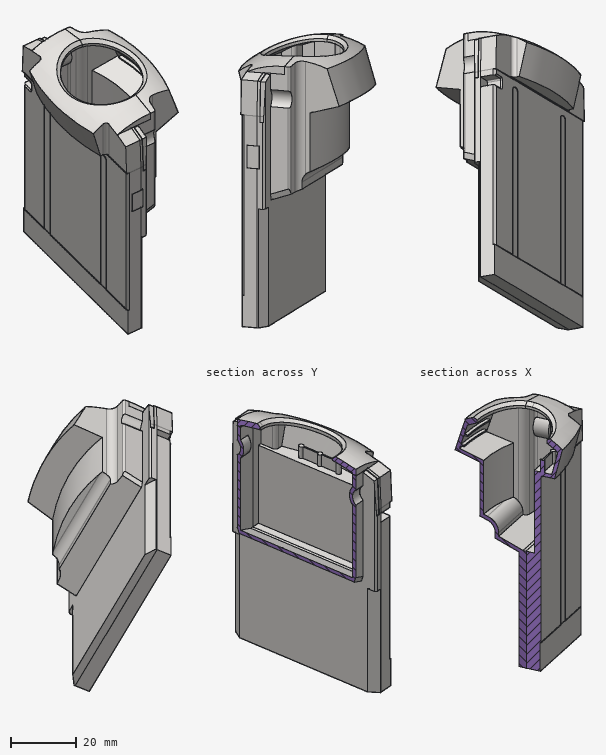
import cadquery as cq
import math


PLATE_HALF = 28.4
PLATE_BACK = 7.6
STRIP_TOP = 9.9
STRIP_RECESS = 0.25
EAR_BOTTOM = 67.0
EAR_STEP = 0.25
EAR_SIDE_TOP = 78.0
EAR_CREST_X = 23.0
EAR_TOP = 83.9
EAR_REAR_Y = 6.0
EAR_REAR_BOTTOM = 65.1
EAR_REAR_STEP = 0.25
EAR_INSET = 0.5
LEFT_CHAMFER = (1.0, 0.75)
RIGHT_CHAMFER = (0.6, 0.75)
REAR_CHAMFER = (3.35, 2.1)
REAR_EDGE = 0.7
REAR_CHAMFER_TOP = 37.65

GROOVE_X = 15.3
GROOVE_WIDTH = 3.1
GROOVE_TOP = 64.8
GROOVE_RADIUS = 1.25
GROOVE_DEPTH = 0.2
NOTCH_LENGTH = 4.35
NOTCH_BOTTOM = 61.9
NOTCH_TOP = 65.1
NOTCH_RADIUS = 0.5
NOTCH_BEVEL = 0.4

HEAD_HALF = 23.3
WING_FRONT = -0.25
WING_BACK = 14.05
FRONT_LOBE_HALF = 17.4
BACK_LOBE_ROOT = (17.7, 14.7)
BACK_LOBE_TIP = (15.65, 30.95)
FRONT_REACH = -10
BACK_ROOT_RADIUS = 2.9
FRONT_ROOT_RADIUS = 1.3
WING_RADIUS = 0.75

BACK_LOW = (29.6, 69.8)
BACK_LEAN = 0.31
FRONT_LOW = (-4.8, 67.3)
FRONT_LEAN = 0.25
BACK_RADIUS = 56.9
FRONT_RADIUS = 65.25
LOBE_BOTTOM_SLOPE = 0.28
HEAD_INTERIOR_Z = 71.5
LOBE_SPLIT_Y = 10

CROWN_TOP = 84.7
CROWN_X_RADIUS = 106.2
CROWN_Y_RADIUS = 30.5
CROWN_Y = 11.7

SHELL_BACK = 21.1
SHELL_POINTS = [(SHELL_BACK, 48.85), (18.7, 48.1)]
SHELL_ARC_MIDDLE = (16.9, 47.1)
SHELL_ARC_END = (15.9, 44.7)
SHELL_STEP_BOTTOM = (15.9, 42.4)
SHELL_FOOT = (6.35, 39.0)
SHELL_START = 1.4
SHELL_BEVEL_WIDTH = 0.7
SHELL_BEVEL_HEIGHT = 1.8

WALL = 1.4
ROOF = 2.2
CAVITY_FRONT = 2.35
MOUTH_Y = 9.95
MOUTH_RADII = (14.1, 12.0)
MOUTH_CHAMFER = 1.25
RIM_LOWEST = 79.4

FINGER_RADIUS = 3.5
FINGER_Z = 71.8
FINGER_DEPTH = 1.25

RIB_HEIGHTS = (71.5, 75.3)
RIB_THICKNESS = 0.7
RIB_DEPTH = 1.25
RIB_HALF = 12.55

RETAINER_Y = -0.5
RETAINER_HALF = 7.1
RETAINER_THICKNESS = 0.5
RETAINER_HEIGHT = 4.2
PEG_DIAMETER = 1.7
PEG_SPACING = 7.4

SEAM_Y = 5.1
SEAM_TOP_Y = 12.2
SEAM_Z = 79.6

BUTTON_Y = (1.8, 5.85)
BUTTON_Z = (50.35, 57.55)
BUTTON_INNER = 26.8
BUTTON_OUTER = 28.5

BIG = 167.3
PICK = 0.75
OVERLAP = 0.8


def box(x0, x1, y0, y1, z0, z1):
    """Box between two opposite corners."""
    return cq.Workplane("XY").box(x1 - x0, y1 - y0, z1 - z0, centered=False).translate((x0, y0, z0))


def side_prism(sketch):
    """Extrude a closed YZ outline to both sides of X = 0."""
    return sketch.extrude(BIG / 2, both=True)


def plan_prism(inset):
    """Upright prism of the head plan: wings with a front and a back lobe."""
    right = [
        (FRONT_LOBE_HALF, FRONT_REACH),
        (FRONT_LOBE_HALF, WING_FRONT),
        (HEAD_HALF, WING_FRONT),
        (HEAD_HALF, WING_BACK),
        BACK_LOBE_ROOT,
        BACK_LOBE_TIP,
    ]
    left = [(-x, y) for x, y in reversed(right)]
    prism = cq.Workplane("XY").polyline(right + left).close().offset2D(-inset, "intersection").extrude(BIG)
    back_root_y = BACK_LOBE_ROOT[1] - inset
    reach = FRONT_LOBE_HALF + 2 * OVERLAP
    for root_y, radius in ((WING_FRONT + inset, FRONT_ROOT_RADIUS), (back_root_y, BACK_ROOT_RADIUS)):
        corners = cq.selectors.BoxSelector(
            (-reach, root_y - PICK, 0), (reach, root_y + PICK, BIG)
        )
        prism = prism.edges("|Z").edges(corners).fillet(radius)
    wing_corners = cq.selectors.BoxSelector(
        (-HEAD_HALF - OVERLAP, WING_BACK - inset - PICK, 0),
        (HEAD_HALF + OVERLAP, WING_BACK - inset + PICK, BIG),
    )
    outermost = prism.edges("|Z").edges(wing_corners)
    prism = outermost.edges("<X or >X").fillet(WING_RADIUS)
    return prism


def sagitta(radius, half_chord):
    """Rise of an arc over its chord."""
    return radius - math.sqrt(radius**2 - half_chord**2)


def end_section(plane, front_apex, back_apex, inset):
    """Outline with straight sides and bulging front and back arcs."""
    half = HEAD_HALF + OVERLAP
    front_sag = sagitta(FRONT_RADIUS - inset, half)
    back_sag = sagitta(BACK_RADIUS - inset, half)
    return (
        plane.moveTo(-half, front_apex + front_sag)
        .threePointArc((0, front_apex), (half, front_apex + front_sag))
        .lineTo(half, back_apex - back_sag)
        .threePointArc((0, back_apex), (-half, back_apex - back_sag))
        .close()
    )


def leaning_ends(inset):
    """Body between the leaning, curved front and back faces of the head."""
    low = 58.55
    high = 92

    def apexes(z):
        front = FRONT_LOW[0] - FRONT_LEAN * (z - FRONT_LOW[1]) + inset
        back = BACK_LOW[0] - BACK_LEAN * (z - BACK_LOW[1]) - inset
        return front, back

    section = end_section(cq.Workplane("XY").workplane(offset=low), *apexes(low), inset)
    section = end_section(section.workplane(offset=high - low), *apexes(high), inset)
    return section.loft(ruled=True)


def crown(drop):
    """Solid under the doubly curved crown."""
    axis_z = CROWN_TOP - CROWN_Y_RADIUS
    half = PLATE_HALF + OVERLAP
    top = CROWN_Y_RADIUS - drop
    edge = top - sagitta(CROWN_X_RADIUS, half)
    return (
        cq.Workplane("XZ")
        .moveTo(-half, 0)
        .lineTo(-half, -edge)
        .threePointArc((0, -top), (half, -edge))
        .lineTo(half, 0)
        .close()
        .revolve(360, (0, 0, 0), (1, 0, 0))
        .translate((0, CROWN_Y, axis_z))
    )


def above_lobes(inset):
    """Everything above the flat front and sloping back undersides of the lobes."""
    floor = FRONT_LOW[1] + inset
    back_z = BACK_LOW[1] + inset
    far_y = BACK_LOW[0] + 8.4

    def slope_z(y):
        return back_z + LOBE_BOTTOM_SLOPE * (y - BACK_LOW[0])

    return side_prism(
        cq.Workplane("YZ")
        .moveTo(FRONT_REACH, floor)
        .lineTo(LOBE_SPLIT_Y, floor)
        .lineTo(LOBE_SPLIT_Y, slope_z(LOBE_SPLIT_Y))
        .lineTo(far_y, slope_z(far_y))
        .lineTo(far_y, BIG)
        .lineTo(FRONT_REACH, BIG)
        .close()
    )


def shell_profile(front, inset):
    """Stepped side outline of the rear shell, from the given front face to its back."""
    foot_y, foot_z = SHELL_FOOT
    top = HEAD_INTERIOR_Z
    outline = (
        cq.Workplane("YZ")
        .moveTo(front - inset, top + inset)
        .lineTo(SHELL_BACK, top + inset)
        .lineTo(*SHELL_POINTS[0])
        .lineTo(*SHELL_POINTS[1])
        .threePointArc(SHELL_ARC_MIDDLE, SHELL_ARC_END)
        .lineTo(*SHELL_STEP_BOTTOM)
        .lineTo(foot_y, foot_z)
        .lineTo(front - inset, foot_z)
        .close()
    )
    if inset:
        outline = outline.offset2D(-inset)
    return side_prism(outline)


def hollow_form(inset, roof_drop, shell_front):
    """Head and rear shell together; inset and lowered, the same form gives the cavity."""
    plan = plan_prism(inset)
    roof = crown(roof_drop)
    head = plan.intersect(leaning_ends(inset)).intersect(above_lobes(inset)).intersect(roof)
    curved_back = end_section(cq.Workplane("XY"), FRONT_REACH, SHELL_BACK - inset, inset).extrude(BIG)
    shell = plan.intersect(shell_profile(shell_front, inset)).intersect(curved_back).intersect(roof)
    return head.union(shell)


def shell_bevels():
    """Wedges along the sloping underside that bevel its left and right edges."""
    foot_y, foot_z = SHELL_FOOT
    step_y, step_z = SHELL_STEP_BOTTOM
    along = cq.Vector(0, step_y - foot_y, step_z - foot_z)
    plane = cq.Plane(origin=(0, foot_y, foot_z), xDir=(1, 0, 0), normal=along)
    wedge = (
        cq.Workplane(plane)
        .polyline([(HEAD_HALF, 0), (HEAD_HALF - SHELL_BEVEL_WIDTH, 0), (HEAD_HALF, -SHELL_BEVEL_HEIGHT)])
        .close()
        .extrude(along.Length)
    )
    return wedge.union(wedge.mirror("YZ"))


def finger_cylinders(radius):
    """Cylinders along Y beside both shell sides."""
    centre = HEAD_HALF + FINGER_RADIUS - FINGER_DEPTH
    return (
        cq.Workplane("XZ", origin=(0, PLATE_BACK, 0))
        .pushPoints([(-centre, FINGER_Z), (centre, FINGER_Z)])
        .circle(radius)
        .extrude(-(WING_BACK + WALL - PLATE_BACK))
    )


def corner_wedge(side, face_y, legs, z0, z1):
    """Wedge that bevels a vertical plate corner on one side, at the front or the back face."""
    width, depth = legs
    edge = side * PLATE_HALF
    inward = 1 if face_y == 0 else -1
    points = [(edge, face_y), (edge - side * width, face_y), (edge, face_y + inward * depth)]
    return cq.Workplane("XY", origin=(0, 0, z0)).polyline(points).close().extrude(z1 - z0)


def ear_slab(front, back, inset):
    """Slab with the plate and ear outline between two Y positions."""
    half = [
        (PLATE_HALF, 0),
        (PLATE_HALF, EAR_BOTTOM),
        (PLATE_HALF - EAR_INSET, EAR_SIDE_TOP),
        (EAR_CREST_X, SEAM_Z),
        (FRONT_LOBE_HALF, EAR_TOP),
    ]
    outline = half + [(-x, z) for x, z in reversed(half)]
    sketch = cq.Workplane("XZ", origin=(0, front, 0)).polyline(outline).close()
    if inset:
        sketch = sketch.offset2D(-inset, "intersection")
    return sketch.extrude(front - back)


def plate():
    """Plate with ears, edge chamfers, bottom strip, grooves and side notch."""
    body = ear_slab(-EAR_STEP, PLATE_BACK, 0)
    rear_rim = ear_slab(EAR_REAR_Y, PLATE_BACK, 0).cut(ear_slab(EAR_REAR_Y, PLATE_BACK, EAR_REAR_STEP))
    body = body.cut(rear_rim.intersect(box(-BIG, BIG, 0, BIG, EAR_REAR_BOTTOM, BIG)))
    body = body.intersect(crown(0).union(box(-BIG, BIG, -BIG, BIG, 0, EAR_BOTTOM)))
    body = body.cut(box(-BIG, BIG, -EAR_STEP, 0, 0, EAR_BOTTOM))
    for side, front_chamfer in ((-1, LEFT_CHAMFER), (1, RIGHT_CHAMFER)):
        body = body.cut(corner_wedge(side, 0, front_chamfer, STRIP_TOP, EAR_BOTTOM))
        body = body.cut(corner_wedge(side, PLATE_BACK, REAR_CHAMFER, 0, REAR_CHAMFER_TOP))
        body = body.cut(corner_wedge(side, PLATE_BACK, (REAR_EDGE, REAR_EDGE), REAR_CHAMFER_TOP, BIG))
        groove = box(-GROOVE_WIDTH / 2, GROOVE_WIDTH / 2, 0, GROOVE_DEPTH, STRIP_TOP, GROOVE_TOP)
        groove = groove.edges("|Y and >Z").fillet(GROOVE_RADIUS)
        body = body.cut(groove.translate((side * GROOVE_X, 0, 0)))
    body = body.cut(box(-BIG, BIG, 0, STRIP_RECESS, 0, STRIP_TOP))
    notch = box(-PLATE_HALF, NOTCH_LENGTH - PLATE_HALF, 0, SEAM_Y, NOTCH_BOTTOM, NOTCH_TOP)
    body = body.cut(notch.edges("|Y and >X").fillet(NOTCH_RADIUS))
    inner_x = NOTCH_LENGTH - PLATE_HALF
    pick = NOTCH_RADIUS / 4
    end_edge = cq.selectors.BoxSelector(
        (inner_x - pick, -pick, NOTCH_BOTTOM), (inner_x + pick, pick, NOTCH_TOP)
    )
    return body.edges(end_edge).chamfer(NOTCH_BEVEL)


def mouth(body):
    """Elliptical opening in the crown with a chamfered rim."""
    tool = (
        cq.Workplane("XY", origin=(0, MOUTH_Y, HEAD_INTERIOR_Z))
        .ellipse(*MOUTH_RADII)
        .extrude(BIG)
    )
    body = body.cut(tool)
    reach_x = MOUTH_RADII[0] + OVERLAP
    reach_y = MOUTH_RADII[1] + OVERLAP
    rim = cq.selectors.BoxSelector(
        (-reach_x, MOUTH_Y - reach_y, RIM_LOWEST), (reach_x, MOUTH_Y + reach_y, CROWN_TOP)
    )
    return body.edges(rim).chamfer(MOUTH_CHAMFER)


def ribs():
    """Thin ribs along the inner back wall of the head."""
    inner = leaning_ends(WALL)
    deeper = leaning_ends(WALL + RIB_DEPTH)
    shelves = cq.Workplane("XY")
    for z in RIB_HEIGHTS:
        shelves = shelves.add(box(-RIB_HALF, RIB_HALF, SHELL_BACK, BACK_LOW[0], z, z + RIB_THICKNESS))
    return shelves.combine().intersect(inner).cut(deeper)


def retainer():
    """Thin upright rib with three pegs on the floor of the front lobe."""
    floor = FRONT_LOW[1]
    height = WALL + RETAINER_HEIGHT
    front = RETAINER_Y - RETAINER_THICKNESS / 2
    rib = box(-RETAINER_HALF, RETAINER_HALF, front, front + RETAINER_THICKNESS, floor, floor + height)
    pegs = (
        cq.Workplane("XY", origin=(0, RETAINER_Y, floor))
        .rarray(PEG_SPACING, 0.8, 3, 1)
        .circle(PEG_DIAMETER / 2)
        .extrude(height)
    )
    return rib.union(pegs)


def button():
    """Low button let into the right side."""
    return box(BUTTON_INNER, BUTTON_OUTER, *BUTTON_Y, *BUTTON_Z)


def housing():
    """Both housing halves as one form, before parting."""
    cavity = hollow_form(WALL, ROOF, CAVITY_FRONT).cut(finger_cylinders(FINGER_RADIUS + WALL))
    body = hollow_form(0, 0, SHELL_START).cut(shell_bevels()).union(plate())
    body = mouth(body).cut(finger_cylinders(FINGER_RADIUS)).cut(cavity)
    return body.union(ribs()).union(retainer()).cut(button())


def front_region():
    """Space in front of the stepped parting surface."""
    return side_prism(
        cq.Workplane("YZ")
        .moveTo(-BIG, -BIG)
        .lineTo(SEAM_Y, -BIG)
        .lineTo(SEAM_Y, SEAM_Z)
        .lineTo(SEAM_TOP_Y, SEAM_Z)
        .lineTo(SEAM_TOP_Y, BIG)
        .lineTo(-BIG, BIG)
        .close()
    )


whole_housing = housing()
front_housing = whole_housing.intersect(front_region())
rear_housing = whole_housing.cut(front_region())
side_button = button()

result = cq.Compound.makeCompound(
    [front_housing.val(), rear_housing.val(), side_button.val()]
)